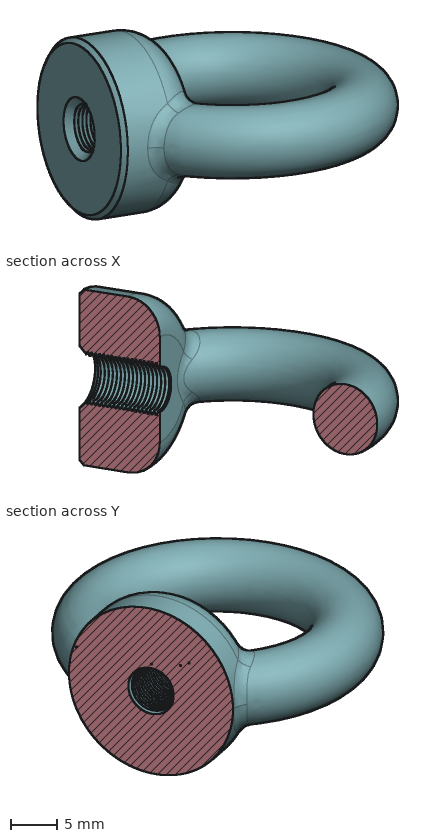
import cadquery as cq
import math


overall_height = 36.97
ring_inner_diameter = 20.0
ring_inner_radius = ring_inner_diameter / 2
bar_radius = 4.0
ring_radius = ring_inner_radius + bar_radius
ring_center_height = overall_height - ring_radius - bar_radius

boss_diameter = ring_inner_diameter
boss_radius = boss_diameter / 2
boss_height = boss_radius
shoulder_radius = bar_radius
base_chamfer = 0.55
blend_radius = 2.0

threads_in_boss_height = 20
thread_pitch = boss_height / threads_in_boss_height
thread_flank_angle = math.radians(30)
thread_crest_radius = 2.5
thread_depth = thread_pitch / 2 / math.tan(thread_flank_angle)
thread_root_radius = thread_crest_radius + thread_depth
countersink_mouth_radius = 3.5
countersink_inner_radius = 2.65
countersink_depth = countersink_mouth_radius - countersink_inner_radius


def make_ring():
    """Torus in the XY plane, turned so that its seam is buried in the boss."""
    seam_turn = -90
    torus = cq.Solid.makeTorus(ring_radius, bar_radius)
    turned = cq.Workplane(torus).rotate((0, 0, 0), (0, 0, 1), seam_turn)
    return turned.translate((0, ring_center_height, 0))


def make_boss():
    """Cylinder along Y with a rounded shoulder at the ring end and a chamfered base."""
    cylinder = cq.Workplane("XZ").circle(boss_radius).extrude(-boss_height)
    rounded = cylinder.faces(">Y").edges().fillet(shoulder_radius)
    return rounded.faces("<Y").edges().chamfer(base_chamfer)


def make_threaded_bore():
    """Countersunk through hole along Y, its thread simplified to a stack of ring-shaped V grooves."""
    outline = [
        (0, 0),
        (countersink_mouth_radius, 0),
        (countersink_inner_radius, countersink_depth),
    ]

    lip_to_root = (thread_root_radius - countersink_inner_radius) * math.tan(thread_flank_angle)
    root_height = countersink_depth + lip_to_root
    while root_height < boss_height:
        crest_height = root_height + thread_pitch / 2
        outline.append((thread_root_radius, root_height))
        outline.append((thread_crest_radius, crest_height))
        root_height += thread_pitch

    bore_end = boss_height + thread_pitch
    outline.append((thread_crest_radius, bore_end))
    outline.append((0, bore_end))
    return cq.Workplane("XY").polyline(outline).close().revolve(360, (0, 0), (0, 1))


blank = make_boss().union(make_ring())
blended = blank.edges("%BSPLINE").fillet(blend_radius)

result = blended.cut(make_threaded_bore())